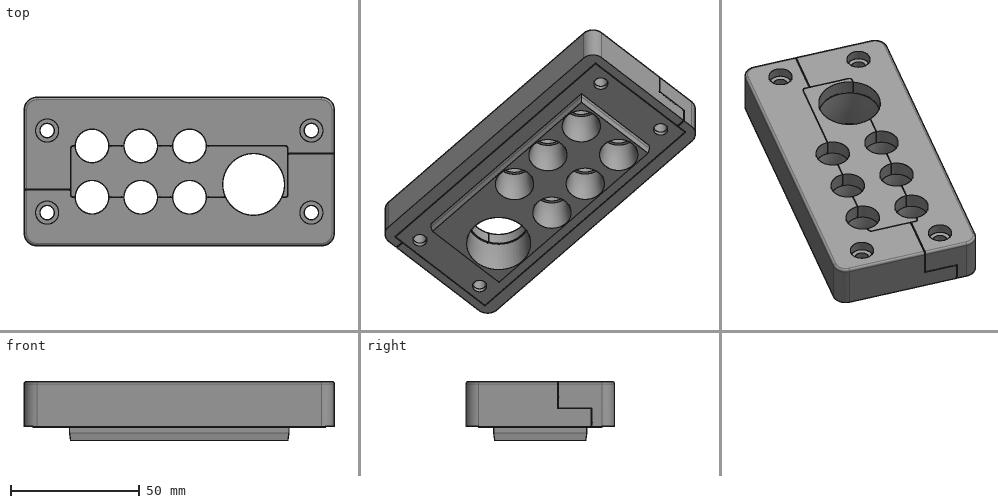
import cadquery as cq
import math


frame_length = 121.0
frame_width = 58.0
frame_top = 18.0
frame_bottom = 0.5
frame_corner_radius = 5.0
top_edge_radius = 1.0
top_plate_thickness = 6.0

seam_gap = 0.4
tongue_gap = 0.2
upper_seam_y = 7.0
lower_seam_y = 20.0
lap_depth = 10.5
lap_line_height = 0.1
lap_line_depth = 0.5

row_y = 10.0

core_length = 85.6
core_width = 36.4
core_bottom = -5.0
core_taper_height = 3.0
core_taper_inset = 0.4
flange_length = 114.0
flange_width = 48.0
flange_thickness = 2.0
tongue_length = 84.5
tongue_width = 2 * row_y - tongue_gap
tongue_corner_radius = 1.0

small_diameter = 13.0
small_seal_diameter = 14.95
small_pitch = 19.0
small_columns = 3
first_column_x = -34.0
large_diameter = 24.0
large_seal_diameter = 24.95
large_center = (29.0, -5.0)

screw_spacing_x = 103.0
screw_spacing_y = 32.0
screw_diameter = 5.5
screw_head_diameter = 9.0
screw_head_depth = 4.0

core_top = frame_top - top_plate_thickness
lap_z = frame_top - lap_depth

small_centers = [
    (first_column_x + column * small_pitch, side * row_y)
    for column in range(small_columns)
    for side in (1, -1)
]


def block(length, width, bottom, top):
    """Box centred on the Z axis between two heights."""
    return cq.Workplane("XY", origin=(0, 0, bottom)).rect(length, width).extrude(top - bottom)


def drill(centers, diameter, bottom, top):
    """Cylinders for holes at the given centres."""
    base = cq.Workplane("XY", origin=(0, 0, bottom))
    return base.pushPoints(centers).circle(diameter / 2).extrude(top - bottom)


def seal_passage(center, waist_diameter, end_diameter):
    """Hourglass cutter through the full height of the seal, with an arc down to the waist."""
    waist_radius = waist_diameter / 2
    end_radius = end_diameter / 2
    profile = (
        cq.Workplane("XZ")
        .moveTo(0, core_bottom)
        .lineTo(end_radius, core_bottom)
        .threePointArc((waist_radius, (core_bottom + core_top) / 2), (end_radius, core_top))
        .lineTo(0, core_top)
        .close()
    )
    return profile.revolve(360, (0, 0, 0), (0, 1, 0)).translate((center[0], center[1], 0))


def tongue(clearance):
    """Rounded slab that fills the opening in the top plate, grown by a clearance on all sides."""
    slab = block(tongue_length + 2 * clearance, tongue_width + 2 * clearance, core_top, frame_top)
    return slab.edges("|Z").fillet(tongue_corner_radius + clearance)


def core():
    """Straight block with a tapered nose at its lower end."""
    taper_top = core_bottom + core_taper_height
    taper_angle = math.degrees(math.atan2(core_taper_inset, core_taper_height))
    nose = (
        cq.Workplane("XY", origin=(0, 0, taper_top))
        .rect(core_length, core_width)
        .extrude(-core_taper_height, taper=taper_angle)
    )
    return block(core_length, core_width, taper_top, core_top).union(nose)


def flange():
    return block(flange_length, flange_width, 0, flange_thickness)


def lap_seam():
    """Stepped gap in the -X end: a slot above the lap, one below it, and a fine line joining them.

    The fine line is only scored into the end wall, so both sides of the frame stay joined at the lap.
    """
    length = (frame_length - core_length) / 2
    middle_x = -(frame_length + core_length) / 4
    upper = block(length, seam_gap, lap_z, frame_top).translate((middle_x, -upper_seam_y, 0))
    lower = block(length, seam_gap, frame_bottom, lap_z).translate((middle_x, -lower_seam_y, 0))
    line_width = lower_seam_y - upper_seam_y
    line = block(lap_line_depth, line_width, lap_z, lap_z + lap_line_height)
    line = line.translate(((lap_line_depth - frame_length) / 2, -(upper_seam_y + lower_seam_y) / 2, 0))
    return upper.union(lower).union(line)


def cut_cable_holes(body):
    """Straight holes through the top plate."""
    body = body.cut(drill(small_centers, small_diameter, core_top, frame_top))
    return body.cut(drill([large_center], large_diameter, core_top, frame_top))


def cut_screw_holes(body):
    """Counterbored holes at the four corners."""
    centers = [
        (side_x * screw_spacing_x / 2, side_y * screw_spacing_y / 2)
        for side_x in (-1, 1)
        for side_y in (-1, 1)
    ]
    body = body.cut(drill(centers, screw_diameter, core_bottom, frame_top))
    return body.cut(drill(centers, screw_head_diameter, frame_top - screw_head_depth, frame_top))


def make_frame():
    body = block(frame_length, frame_width, frame_bottom, frame_top)
    body = body.edges("|Z").fillet(frame_corner_radius)
    body = body.faces(">Z").edges().fillet(top_edge_radius)
    body = body.cut(core()).cut(flange()).cut(tongue(tongue_gap))
    body = cut_screw_holes(cut_cable_holes(body))
    for angle in (0, 180):
        body = body.cut(lap_seam().rotate((0, 0, 0), (0, 0, 1), angle))
    return body


def make_seal_insert():
    body = core().union(flange()).union(tongue(0))
    body = cut_screw_holes(cut_cable_holes(body))
    for center in small_centers:
        body = body.cut(seal_passage(center, small_diameter, small_seal_diameter))
    return body.cut(seal_passage(large_center, large_diameter, large_seal_diameter))


frame = make_frame()
seal_insert = make_seal_insert()

result = cq.Compound.makeCompound([frame.val(), seal_insert.val()])